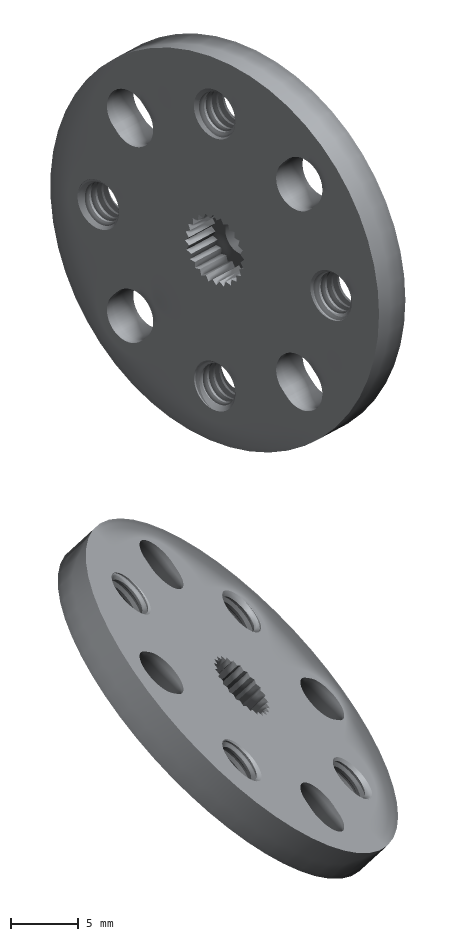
import cadquery as cq
import math

DISC_DIAMETER = 31.98
DISC_THICKNESS = 3.0
HUB_DIAMETER = 13.98
HUB_HEIGHT = 1.5

SPLINE_TEETH = 24
SPLINE_TIP_RADIUS = 2.88
SPLINE_ROOT_RADIUS = 2.53
SPLINE_TURN = 3.0
SCREW_HOLE_DIAMETER = 3.07

HOLE_COUNT = 4
HOLE_CIRCLE_RADIUS = 11.32
THREAD_MINOR_DIAMETER = 3.25
THREAD_MAJOR_DIAMETER = 4.0
THREAD_PITCH = 0.7
THREAD_TURN = 225
GROOVE_MOUTH = 0.8 * THREAD_PITCH
GROOVE_FLOOR = 0.2 * THREAD_PITCH
GROOVE_OVERLAP = 0.05
COUNTERSINK_DIAMETER = 4.03
COUNTERSINK_HALF_ANGLE = 45

SLOT_WIDTH = 4.0
SLOT_CENTRE_TRAVEL = 0.7
SLOT_CIRCLE_RADIUS = 11.65


def disc_with_hub():
    disc = cq.Workplane("XY").circle(DISC_DIAMETER / 2).extrude(DISC_THICKNESS)
    hub = cq.Workplane("XY").circle(HUB_DIAMETER / 2).extrude(-HUB_HEIGHT)
    return disc.union(hub)


def spline_socket():
    """Toothed pocket through the disc, ending at the hub."""
    half_tooth = math.pi / SPLINE_TEETH
    points = []
    for i in range(2 * SPLINE_TEETH):
        radius = SPLINE_ROOT_RADIUS if i % 2 else SPLINE_TIP_RADIUS
        angle = math.radians(SPLINE_TURN) + i * half_tooth
        points.append((radius * math.cos(angle), radius * math.sin(angle)))
    return cq.Workplane("XY").polyline(points).close().extrude(DISC_THICKNESS)


def screw_hole():
    length = DISC_THICKNESS + HUB_HEIGHT
    return cq.Workplane("XY", origin=(0, 0, -HUB_HEIGHT)).circle(SCREW_HOLE_DIAMETER / 2).extrude(length)


def thread_groove():
    """Helical V groove that runs out one pitch past both faces of the disc."""
    minor_radius = THREAD_MINOR_DIAMETER / 2
    start = -THREAD_PITCH
    length = DISC_THICKNESS + 2 * THREAD_PITCH
    helix = cq.Wire.makeHelix(THREAD_PITCH, length, minor_radius, center=cq.Vector(0, 0, start))
    inner = minor_radius - GROOVE_OVERLAP
    outer = THREAD_MAJOR_DIAMETER / 2
    profile = [
        (inner, start - GROOVE_MOUTH / 2),
        (outer, start - GROOVE_FLOOR / 2),
        (outer, start + GROOVE_FLOOR / 2),
        (inner, start + GROOVE_MOUTH / 2),
    ]
    return cq.Workplane("XZ").polyline(profile).close().sweep(cq.Workplane(helix), isFrenet=True)


def countersink():
    radius_drop = (COUNTERSINK_DIAMETER - THREAD_MINOR_DIAMETER) / 2
    depth = radius_drop / math.tan(math.radians(COUNTERSINK_HALF_ANGLE))
    mouth = cq.Workplane("XY", origin=(0, 0, DISC_THICKNESS)).circle(COUNTERSINK_DIAMETER / 2)
    return mouth.extrude(-depth, taper=COUNTERSINK_HALF_ANGLE)


def thread_cutters():
    """Cutters of one threaded hole, in the order they are applied."""
    bore = cq.Workplane("XY").circle(THREAD_MINOR_DIAMETER / 2).extrude(DISC_THICKNESS)
    cutters = [bore, thread_groove(), countersink()]
    return [cutter.rotate((0, 0, 0), (0, 0, 1), THREAD_TURN) for cutter in cutters]


def radial_slot():
    slot = cq.Workplane("XY").slot2D(SLOT_WIDTH + SLOT_CENTRE_TRAVEL, SLOT_WIDTH)
    return slot.extrude(DISC_THICKNESS)


def at_polar(tool, radius, angle):
    return tool.translate((radius, 0, 0)).rotate((0, 0, 0), (0, 0, 1), angle)


part = disc_with_hub().cut(spline_socket()).cut(screw_hole())

cutters = thread_cutters()
slot = radial_slot()
spacing = 360 / HOLE_COUNT
for i in range(HOLE_COUNT):
    for cutter in cutters:
        part = part.cut(at_polar(cutter, HOLE_CIRCLE_RADIUS, i * spacing))
    part = part.cut(at_polar(slot, SLOT_CIRCLE_RADIUS, (i + 0.5) * spacing))

result = part.rotate((0, 0, 0), (1, 0, 0), 90)